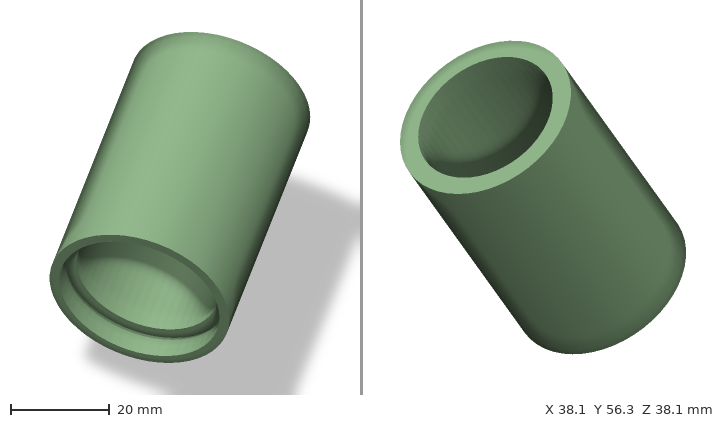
import cadquery as cq

length = 56.3
outer_diameter = 38.1
bore_diameter = 30.0

counterbore_diameter = 34.0
counterbore_depth = 4.5
groove_diameter = 35.0
groove_width = 1.0

front_y = -length / 2


def cylinder_from_front(diameter, depth, start=0):
    """Solid cylinder running toward +Y, beginning at a distance behind the front face."""
    start_plane = cq.Workplane("XZ", origin=(0, front_y + start, 0))
    return start_plane.circle(diameter / 2).extrude(-depth)


sleeve = cylinder_from_front(outer_diameter, length)
bore = cylinder_from_front(bore_diameter, length)
counterbore = cylinder_from_front(counterbore_diameter, counterbore_depth)
groove = cylinder_from_front(groove_diameter, groove_width, start=counterbore_depth)

result = sleeve.cut(bore).cut(counterbore).cut(groove)